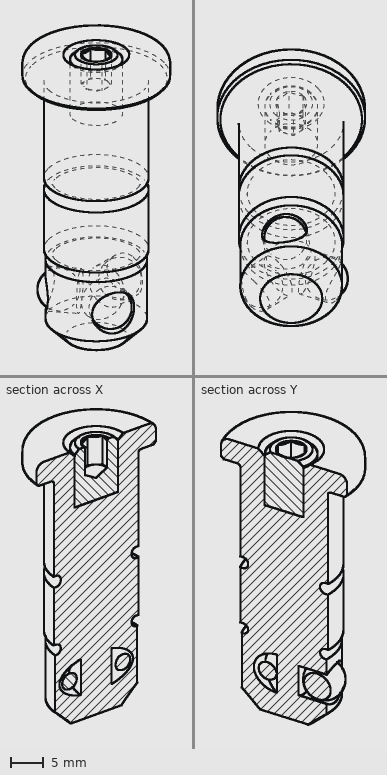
import cadquery as cq
import math

PIN_HEIGHT = 47.8
HEAD_RADIUS = 22.5 / 2
HEAD_HEIGHT = 4.0
HEAD_TOP_ROUND = 1.5
HEAD_CHAMFER = 0.5
NECK_FILLET = 0.5
SHANK_RADIUS = 8.0

NOSE_RADIUS = 7.75
NOSE_CHAMFER = 3.0

GROOVE_FLOOR_RADIUS = 6.7
UPPER_GROOVE_TOP = 26.9
UPPER_GROOVE_WIDTH = 1.9
LOWER_GROOVE_TOP = 14.8
LOWER_GROOVE_WIDTH = 1.75
GROOVE_CORNER_RADIUS = 0.85

SCREW_RADIUS = 4.0
SCREW_LENGTH = 10.0
SCREW_CHAMFER = 0.75
BORE_COUNTERSINK = 1.0
HEX_ACROSS_FLATS = 4.0
HEX_DEPTH = 5.0
DRILL_TIP_DEPTH = 1.15
HEX_LEAD_IN_RADIUS = 2.35
HEX_LEAD_IN_DEPTH = 0.2

BALL_COUNT = 3
BALL_RADIUS = 3.25
BALL_REACH = 9.05
BALL_HEIGHT = 7.55
POCKET_RADIUS = 3.45
BALL_CENTER_RADIUS = BALL_REACH - BALL_RADIUS
POCKET_FLOOR_RADIUS = BALL_CENTER_RADIUS - BALL_RADIUS


def make_blank():
    """Turned body with head, shank and tapered nose, before grooves and bores."""
    head_bottom = PIN_HEIGHT - HEAD_HEIGHT
    head = (
        cq.Workplane("XY")
        .workplane(offset=head_bottom)
        .circle(HEAD_RADIUS)
        .extrude(HEAD_HEIGHT)
        .faces(">Z").edges().fillet(HEAD_TOP_ROUND)
        .faces("<Z").edges().chamfer(HEAD_CHAMFER)
    )
    shank = (
        cq.Workplane("XY")
        .workplane(offset=LOWER_GROOVE_TOP)
        .circle(SHANK_RADIUS)
        .extrude(head_bottom - LOWER_GROOVE_TOP)
    )
    nose = (
        cq.Workplane("XY")
        .circle(NOSE_RADIUS)
        .extrude(LOWER_GROOVE_TOP)
        .faces("<Z").edges().chamfer(NOSE_CHAMFER)
    )
    neck_edge = cq.selectors.BoxSelector(
        (-SHANK_RADIUS - NECK_FILLET, -SHANK_RADIUS - NECK_FILLET, head_bottom - NECK_FILLET / 2),
        (SHANK_RADIUS + NECK_FILLET, SHANK_RADIUS + NECK_FILLET, head_bottom + NECK_FILLET / 2),
        boundingbox=True,
    )
    return head.union(shank).edges(neck_edge).fillet(NECK_FILLET).union(nose)


def make_groove_cutter(top, width):
    """Ring that cuts one groove; its inner edges are rounded."""
    disc = (
        cq.Workplane("XY")
        .workplane(offset=top - width)
        .circle(HEAD_RADIUS)
        .extrude(width)
    )
    core = (
        cq.Workplane("XZ")
        .moveTo(0, top)
        .lineTo(GROOVE_FLOOR_RADIUS + GROOVE_CORNER_RADIUS, top)
        .radiusArc((GROOVE_FLOOR_RADIUS, top - GROOVE_CORNER_RADIUS), -GROOVE_CORNER_RADIUS)
        .lineTo(GROOVE_FLOOR_RADIUS, top - width + GROOVE_CORNER_RADIUS)
        .radiusArc((GROOVE_FLOOR_RADIUS + GROOVE_CORNER_RADIUS, top - width), -GROOVE_CORNER_RADIUS)
        .lineTo(0, top - width)
        .close()
        .revolve()
    )
    return disc.cut(core)


def make_screw_bore():
    """Blind bore for the set screw, countersunk at the head."""
    bore = (
        cq.Workplane("XY")
        .workplane(offset=PIN_HEIGHT - SCREW_LENGTH)
        .circle(SCREW_RADIUS)
        .extrude(SCREW_LENGTH)
    )
    countersink = cq.Workplane(cq.Solid.makeCone(
        SCREW_RADIUS, SCREW_RADIUS + BORE_COUNTERSINK, BORE_COUNTERSINK,
        cq.Vector(0, 0, PIN_HEIGHT - BORE_COUNTERSINK),
    ))
    return bore.union(countersink)


def ball_angles():
    return [index * 360 / BALL_COUNT for index in range(BALL_COUNT)]


def make_pocket(angle):
    """Radial pocket whose flat floor just touches the ball."""
    return (
        cq.Workplane("YZ")
        .workplane(offset=POCKET_FLOOR_RADIUS)
        .center(0, BALL_HEIGHT)
        .circle(POCKET_RADIUS)
        .extrude(HEAD_RADIUS - POCKET_FLOOR_RADIUS)
        .rotate((0, 0, 0), (0, 0, 1), angle)
    )


def make_housing():
    housing = make_blank()
    housing = housing.cut(make_groove_cutter(UPPER_GROOVE_TOP, UPPER_GROOVE_WIDTH))
    housing = housing.cut(make_groove_cutter(LOWER_GROOVE_TOP, LOWER_GROOVE_WIDTH))
    housing = housing.cut(make_screw_bore())
    for angle in ball_angles():
        housing = housing.cut(make_pocket(angle))
    return housing


def make_set_screw():
    """Headless screw with a chamfered end and a hexagon socket ending in a drill tip."""
    hex_corner_radius = HEX_ACROSS_FLATS / math.sqrt(3)
    socket_floor = PIN_HEIGHT - HEX_DEPTH
    screw = (
        cq.Workplane("XY")
        .workplane(offset=PIN_HEIGHT - SCREW_LENGTH)
        .circle(SCREW_RADIUS)
        .extrude(SCREW_LENGTH)
        .faces(">Z").edges().chamfer(SCREW_CHAMFER)
    )
    socket = (
        cq.Workplane("XY")
        .workplane(offset=socket_floor)
        .polygon(6, 2 * hex_corner_radius)
        .extrude(HEX_DEPTH)
    )
    drill_tip = cq.Workplane(cq.Solid.makeCone(
        0, HEX_ACROSS_FLATS / 2, DRILL_TIP_DEPTH,
        cq.Vector(0, 0, socket_floor - DRILL_TIP_DEPTH),
    ))
    lead_in = cq.Workplane(cq.Solid.makeCone(
        HEX_ACROSS_FLATS / 2, HEX_LEAD_IN_RADIUS, HEX_LEAD_IN_DEPTH,
        cq.Vector(0, 0, PIN_HEIGHT - HEX_LEAD_IN_DEPTH),
    ))
    return screw.cut(socket).cut(drill_tip).cut(lead_in)


def make_ball(angle):
    return (
        cq.Workplane("XY")
        .sphere(BALL_RADIUS)
        .translate((BALL_CENTER_RADIUS, 0, BALL_HEIGHT))
        .rotate((0, 0, 0), (0, 0, 1), angle)
    )


housing = make_housing()
set_screw = make_set_screw()
balls = [make_ball(angle) for angle in ball_angles()]

result = cq.Compound.makeCompound([
    housing.val(),
    set_screw.val(),
    *[ball.val() for ball in balls],
])